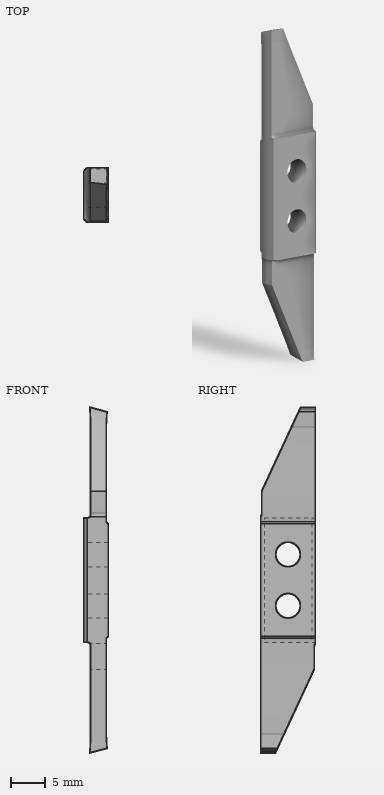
import cadquery as cq
import math

thickness = 3.6
width = 8.0
length = 50.5

shoulder_z = 9.1
block_back_half_length = 8.2
block_edge_chamfer = 0.5
root_fillet = 0.4

blade_front_x = 0.98
blade_back_x = 3.3
side_relief = 0.15
side_fillet_start_z = 9.24
side_fillet_end_z = 9.8
tip_width = 2.15
slant_start_z = 13.0
tip_angle = 15.0
front_flare_start_z = 23.4
front_flare = 0.09
back_flare_start_z = 22.4
back_flare = 0.12

hole_diameter = 3.55
hole_spacing = 7.5

half_width = width / 2
half_length = length / 2


def rotate_half_turn(points):
    """Turn points of the YZ plane by 180 degrees about the X axis."""
    return [(-y, -z) for y, z in points]


def make_side_profile():
    """Thickness profile in the XZ plane, mirrored about z = 0, extruded over the width."""
    back_chamfer = thickness - blade_back_x
    tip_front_x = blade_front_x - front_flare
    tip_back_x = blade_back_x + back_flare
    tip_back_z = half_length - (tip_back_x - tip_front_x) * math.tan(math.radians(tip_angle))
    upper = [
        (0, shoulder_z),
        (blade_front_x, shoulder_z),
        (blade_front_x, front_flare_start_z),
        (tip_front_x, half_length),
        (tip_back_x, tip_back_z),
        (blade_back_x, back_flare_start_z),
        (blade_back_x, block_back_half_length + back_chamfer),
        (thickness, block_back_half_length),
    ]
    lower = [(x, -z) for x, z in reversed(upper)]
    body = (
        cq.Workplane("XZ", origin=(0, half_width, 0))
        .polyline(upper + lower)
        .close()
        .extrude(width)
    )
    for z in (shoulder_z, -shoulder_z):
        root_edge = cq.selectors.NearestToPointSelector((blade_front_x, 0, z))
        body = body.edges(root_edge).fillet(root_fillet)
    return body


def make_outline():
    """Outline in the YZ plane, unchanged by a half turn about X, extruded through the thickness."""
    relieved_y = -half_width + side_relief
    fillet_height = side_fillet_end_z - side_fillet_start_z
    fillet_radius = (fillet_height**2 + side_relief**2) / (2 * side_relief)
    half_angle = math.asin(fillet_height / fillet_radius) / 2
    fillet_middle = (
        relieved_y - fillet_radius * (1 - math.cos(half_angle)),
        side_fillet_end_z - fillet_radius * math.sin(half_angle),
    )
    upper = [
        (-half_width, side_fillet_start_z),
        fillet_middle,
        (relieved_y, side_fillet_end_z),
        (relieved_y, slant_start_z),
        (half_width - tip_width, half_length),
        (half_width, half_length),
    ]
    sketch = cq.Workplane("YZ").moveTo(*rotate_half_turn(upper)[-1])
    for corners in (upper, rotate_half_turn(upper)):
        start, middle, end, *straight = corners
        sketch = sketch.lineTo(*start).threePointArc(middle, end)
        for point in straight:
            sketch = sketch.lineTo(*point)
    return sketch.close().extrude(thickness)


def make_chamfer_cutter(side):
    """Triangular bar that bevels the long front edge of the block at y = side * half_width."""
    edge_y = side * half_width
    return (
        cq.Workplane("XY", origin=(0, 0, -half_length))
        .polyline([(0, edge_y), (block_edge_chamfer, edge_y), (0, edge_y - side * block_edge_chamfer)])
        .close()
        .extrude(length)
    )


def make_holes():
    """Two through holes along X on the centre line of the block."""
    return (
        cq.Workplane("YZ")
        .pushPoints([(0, -hole_spacing / 2), (0, hole_spacing / 2)])
        .circle(hole_diameter / 2)
        .extrude(thickness)
    )


result = make_side_profile().intersect(make_outline())
for side in (-1, 1):
    result = result.cut(make_chamfer_cutter(side))
result = result.cut(make_holes())